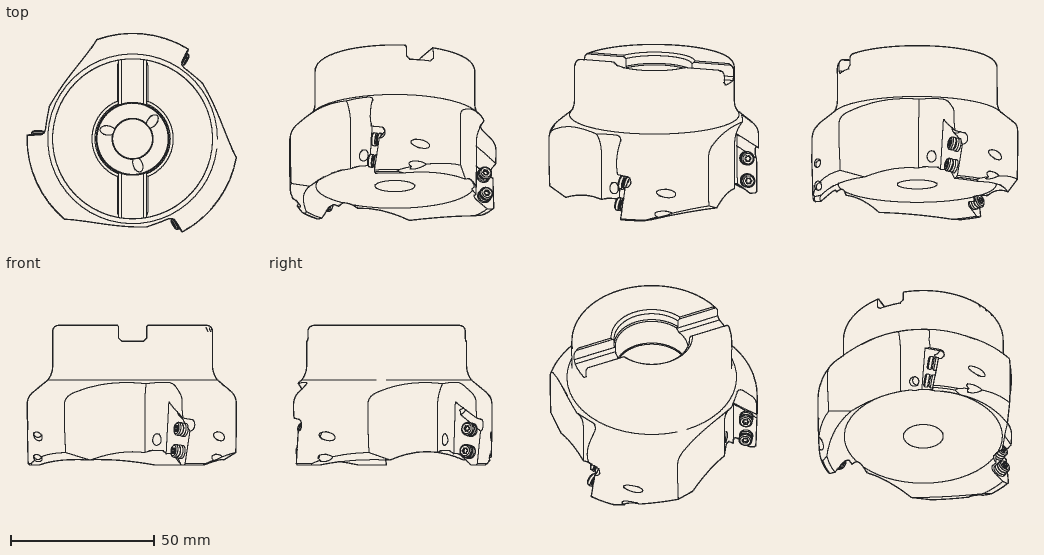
import cadquery as cq
import math

HEIGHT = 48.75
NECK_RADIUS = 27.9
NECK_TOP_FILLET = 2.1
BODY_RADIUS = 36.8
BODY_FOOT_RADIUS = 36.4
TAPER_START_Z = 13.65
FOOT_CHAMFER_WIDTH = 0.6
FOOT_CHAMFER_HEIGHT = 0.5
SHOULDER_FOOT_Z = 23.7
SHOULDER_TOP_RADIUS = 29.55
SHOULDER_TOP_Z = 29.7
SHOULDER_FILLET = 5.25
NECK_FOOT_Z = 34.75

BORE_MOUTH_RADIUS = 13.15
BORE_MOUTH_CHAMFER = 1.0
BORE_MOUTH_FOOT_Z = 44.5
BORE_RADIUS = 12.7
BORE_STEP_Z = 34.3
BORE_STEP = 0.3
LEDGE_Z = 22.6
BOLT_HOLE_RADIUS = 6.9
BOLT_HOLE_CHAMFER = 0.2

SLOT_WIDTH = 9.8
SLOT_DEPTH = 5.55
SLOT_FLOOR_CHAMFER = 1.1
SLOT_MOUTH_CHAMFER = 0.45

DISH_RADIUS = 33.95
DISH_DEPTH = 5.1
DISH_SLOPE = 0.8
CLEARANCE_ANGLE = 52.0
CLEARANCE_START = 27.7
CLEARANCE_SLOPE = 0.5

TOOTH_ANGLES = (60.0, 180.0, 300.0)
POCKET_RADIUS = 12.8
POCKET_TILT = 5.5
BACK_WALL_ANGLE = -30.0
BACK_WALL_DISTANCE = 28.1
BACK_WALL_BEND_Z = 20.95
INNER_WALL_ANGLE = -1.9
INNER_WALL_DISTANCE = 26.8
INNER_WALL_BEND_Z = 19.6
TOOTH_FACE_POINT = cq.Vector(32.1, -1.75, 21.2)
TOOTH_FACE_TILT = 3.5
TOOTH_FACE_SKEW = 6.0
POCKET_CORNER_FILLET = 2.5

UNDERCUT_TILT = -6.0
UNDERCUT_DROP = 1.25
UNDERCUT_INNER = 2.55
UNDERCUT_SIZE = 5.85

SEAT_TILT = 9.0
SEAT_INNER_RADIUS = 28.8
SEAT_CORNER_FILLET = 1.75
SEAT_END_RADIUS = 36.1
SEAT_END_HEIGHT = 16.5
SEAT_END_SLANT = 34.0
END_GROOVE_RADIUS = 1.7
SEAT_CUT_HEIGHT = 6.6

SCREW_RADIAL = 33.0
SCREW_HEIGHTS = (4.6, 12.4)
SHANK_RADIUS = 1.45
SCREW_HOLE_DEPTH = 25.55
SHANK_LENGTH = 7.3
FLANGE_RADIUS = 2.3
FLANGE_THICKNESS = 1.45
FLANGE_CHAMFER = 0.6
SCREW_NECK_RADIUS = 1.6
SCREW_NECK_LENGTH = 0.45
HEAD_RADIUS = 2.25
HEAD_THICKNESS = 1.45
HEAD_CHAMFER = 0.45
SOCKET_RADIUS = 0.8
SOCKET_LOBE_RADIUS = 0.3
SOCKET_LOBES = 6
SOCKET_DEPTH = 0.9

COOLANT_RADIUS = 1.6
COOLANT_INLET = cq.Vector(8.7, -2.9, LEDGE_Z)
COOLANT_OUTLET = cq.Vector(26.65, -5.6, 8.9)
COOLANT_OVERRUN = 4.4

REACH = 51.1
CUT_MARGIN = 0.7

SEAT_PLANE = cq.Plane(
    origin=(0, 0, 0),
    xDir=(1, 0, 0),
    normal=(0, -math.cos(math.radians(SEAT_TILT)), math.sin(math.radians(SEAT_TILT))),
)


def on_every_tooth(shape):
    """Copies of a shape, turned from the +X axis to each tooth."""
    return [shape.rotate((0, 0, 0), (0, 0, 1), angle) for angle in TOOTH_ANGLES]


def turned_blank():
    blank = (
        cq.Workplane("XZ")
        .moveTo(0, HEIGHT)
        .lineTo(NECK_RADIUS, HEIGHT)
        .lineTo(NECK_RADIUS, NECK_FOOT_Z)
        .tangentArcPoint((SHOULDER_TOP_RADIUS, SHOULDER_TOP_Z), relative=False)
        .lineTo(BODY_RADIUS, SHOULDER_FOOT_Z)
        .lineTo(BODY_RADIUS, TAPER_START_Z)
        .lineTo(BODY_FOOT_RADIUS, FOOT_CHAMFER_HEIGHT)
        .lineTo(BODY_FOOT_RADIUS - FOOT_CHAMFER_WIDTH, 0)
        .lineTo(0, 0)
        .close()
        .revolve(360, (0, 0, 0), (0, 1, 0))
    )
    for z, fillet in ((SHOULDER_FOOT_Z, SHOULDER_FILLET), (HEIGHT, NECK_TOP_FILLET)):
        rim = cq.selectors.BoxSelector(
            (-REACH, -REACH, z - CUT_MARGIN), (REACH, REACH, z + CUT_MARGIN), boundingbox=True
        )
        blank = blank.edges(rim).edges("%CIRCLE").fillet(fillet)
    return blank


def bore():
    points = [
        (0, -CUT_MARGIN),
        (BOLT_HOLE_RADIUS, -CUT_MARGIN),
        (BOLT_HOLE_RADIUS, LEDGE_Z - BOLT_HOLE_CHAMFER),
        (BOLT_HOLE_RADIUS + BOLT_HOLE_CHAMFER, LEDGE_Z),
        (BORE_RADIUS - BORE_STEP, LEDGE_Z),
        (BORE_RADIUS - BORE_STEP, BORE_STEP_Z - BORE_STEP),
        (BORE_RADIUS, BORE_STEP_Z),
        (BORE_RADIUS, BORE_MOUTH_FOOT_Z),
        (BORE_MOUTH_RADIUS, BORE_MOUTH_FOOT_Z + BORE_MOUTH_RADIUS - BORE_RADIUS),
        (BORE_MOUTH_RADIUS, HEIGHT - BORE_MOUTH_CHAMFER),
        (BORE_MOUTH_RADIUS + BORE_MOUTH_CHAMFER, HEIGHT),
        (0, HEIGHT),
    ]
    return cq.Workplane("XZ").polyline(points).close().revolve(360, (0, 0, 0), (0, 1, 0))


def drive_slot():
    half = SLOT_WIDTH / 2
    floor_z = HEIGHT - SLOT_DEPTH
    right_side = [
        (half - SLOT_FLOOR_CHAMFER, floor_z),
        (half, floor_z + SLOT_FLOOR_CHAMFER),
        (half, HEIGHT - SLOT_MOUTH_CHAMFER),
        (half + SLOT_MOUTH_CHAMFER, HEIGHT),
    ]
    left_side = [(-x, z) for x, z in reversed(right_side)]
    return cq.Workplane("XZ").polyline(right_side + left_side).close().extrude(REACH, both=True)


def underside_dish():
    floor_radius = DISH_RADIUS - DISH_DEPTH / DISH_SLOPE
    points = [(0, 0), (DISH_RADIUS, 0), (floor_radius, DISH_DEPTH), (0, DISH_DEPTH)]
    return cq.Workplane("XZ").polyline(points).close().revolve(360, (0, 0, 0), (0, 1, 0))


def clearance_cut():
    """Wedge that raises the underside of a tooth towards its heel."""
    rise = (REACH - CLEARANCE_START) * CLEARANCE_SLOPE
    points = [(CLEARANCE_START, 0), (REACH, rise), (REACH, 0)]
    wedge = cq.Workplane("XZ").polyline(points).close().extrude(REACH, both=True)
    return wedge.rotate((0, 0, 0), (0, 0, 1), CLEARANCE_ANGLE)


def pocket_wall_cut(angle, distance, bend_z):
    """Everything outside a flat wall that bends outwards at its top in a quarter round."""
    turn = math.radians(angle)
    tilt = math.radians(POCKET_TILT)
    outward = cq.Vector(math.cos(turn), math.sin(turn), 0)
    along = cq.Vector(
        math.sin(turn) * math.cos(tilt), -math.cos(turn) * math.cos(tilt), math.sin(tilt)
    )
    foot = outward * distance + cq.Vector(0, 0, bend_z)
    arc_middle = POCKET_RADIUS * math.sin(math.radians(45))
    return (
        cq.Workplane(cq.Plane(foot, outward, along))
        .moveTo(0, -REACH)
        .lineTo(0, 0)
        .threePointArc((POCKET_RADIUS - arc_middle, arc_middle), (POCKET_RADIUS, POCKET_RADIUS))
        .lineTo(REACH, POCKET_RADIUS)
        .lineTo(REACH, -REACH)
        .close()
        .extrude(REACH, both=True)
    )


def tooth_face_plane(tilt_angle):
    """Plane of the tooth face: X points outwards along it, and its normal leaves the tooth."""
    tilt = math.radians(tilt_angle)
    skew = math.radians(TOOTH_FACE_SKEW)
    direction = cq.Vector(math.cos(skew), math.sin(skew), 0)
    normal = cq.Vector(
        math.sin(skew) * math.cos(tilt), -math.cos(skew) * math.cos(tilt), math.sin(tilt)
    )
    return cq.Plane(TOOTH_FACE_POINT, direction, normal)


def chip_pocket():
    tooth_face = tooth_face_plane(TOOTH_FACE_TILT)
    before_face = cq.Workplane(tooth_face).rect(4 * REACH, 4 * REACH).extrude(2 * REACH)
    back = pocket_wall_cut(BACK_WALL_ANGLE, BACK_WALL_DISTANCE, BACK_WALL_BEND_Z)
    inner = pocket_wall_cut(INNER_WALL_ANGLE, INNER_WALL_DISTANCE, INNER_WALL_BEND_Z)
    inner = inner.intersect(before_face)
    corner = cq.selectors.NearestToPointSelector((INNER_WALL_DISTANCE, TOOTH_FACE_POINT.y, 0))
    inner = inner.edges(corner).fillet(POCKET_CORNER_FILLET)
    return back.intersect(before_face).union(inner)


def face_undercut():
    """Leans the tooth face back between the seat and a level line above it."""
    line_point = tooth_face_plane(TOOTH_FACE_TILT).toWorldCoords((0, -UNDERCUT_DROP, 0))
    undercut_plane = tooth_face_plane(UNDERCUT_TILT)
    undercut_plane.origin = line_point
    return (
        cq.Workplane(undercut_plane)
        .moveTo(-UNDERCUT_INNER, -UNDERCUT_SIZE)
        .lineTo(-UNDERCUT_INNER, 0)
        .lineTo(REACH, 0)
        .lineTo(REACH, -UNDERCUT_SIZE)
        .close()
        .extrude(UNDERCUT_SIZE)
    )


def insert_seat():
    slope = math.tan(math.radians(SEAT_END_SLANT))

    def end_height(radial):
        return SEAT_END_HEIGHT + (SEAT_END_RADIUS - radial) * slope

    recess = (
        cq.Workplane(SEAT_PLANE)
        .moveTo(SEAT_INNER_RADIUS, -REACH)
        .lineTo(SEAT_INNER_RADIUS, end_height(SEAT_INNER_RADIUS))
        .lineTo(REACH, end_height(REACH))
        .lineTo(REACH, -REACH)
        .close()
        .extrude(SEAT_CUT_HEIGHT)
    )
    floor_corner = SEAT_PLANE.toWorldCoords((SEAT_INNER_RADIUS, 0, 0))
    corner_edge = cq.selectors.NearestToPointSelector(floor_corner.toTuple())
    recess = recess.edges("not(|X)").edges(corner_edge).fillet(SEAT_CORNER_FILLET)
    groove_drop = END_GROOVE_RADIUS / math.cos(math.radians(SEAT_END_SLANT))
    start = (SEAT_INNER_RADIUS, end_height(SEAT_INNER_RADIUS) - groove_drop, 0)
    direction = SEAT_PLANE.xDir - SEAT_PLANE.yDir * slope
    end_groove = cq.Solid.makeCylinder(
        END_GROOVE_RADIUS, REACH, SEAT_PLANE.toWorldCoords(start), direction
    )
    return recess.union(cq.Workplane(end_groove))


def screw_holes():
    """Holes square to the seat that run out through the back of the tooth."""
    places = [(SCREW_RADIAL, height) for height in SCREW_HEIGHTS]
    return cq.Workplane(SEAT_PLANE).pushPoints(places).circle(SHANK_RADIUS).extrude(-SCREW_HOLE_DEPTH)


def coolant_hole():
    axis = COOLANT_OUTLET - COOLANT_INLET
    overrun = axis.normalized() * COOLANT_OVERRUN
    return cq.Workplane(
        cq.Solid.makeCylinder(
            COOLANT_RADIUS, axis.Length + 2 * COOLANT_OVERRUN, COOLANT_INLET - overrun, axis
        )
    )


def cutter_body():
    body = turned_blank().cut(bore()).cut(drive_slot()).cut(underside_dish())
    tooth_features = (
        clearance_cut(),
        chip_pocket(),
        face_undercut(),
        insert_seat(),
        screw_holes(),
        coolant_hole(),
    )
    for feature in tooth_features:
        for cut in on_every_tooth(feature):
            body = body.cut(cut)
    return body


def insert_screw(height):
    """Screw standing on the seat at the given height along it."""
    neck_foot = FLANGE_THICKNESS
    head_foot = neck_foot + SCREW_NECK_LENGTH
    head_top = head_foot + HEAD_THICKNESS
    half_section = [
        (0, -SHANK_LENGTH),
        (SHANK_RADIUS, -SHANK_LENGTH),
        (SHANK_RADIUS, 0),
        (FLANGE_RADIUS, 0),
        (FLANGE_RADIUS, neck_foot - FLANGE_CHAMFER),
        (FLANGE_RADIUS - FLANGE_CHAMFER, neck_foot),
        (SCREW_NECK_RADIUS, neck_foot),
        (SCREW_NECK_RADIUS, head_foot),
        (HEAD_RADIUS, head_foot),
        (HEAD_RADIUS, head_top - HEAD_CHAMFER),
        (HEAD_RADIUS - HEAD_CHAMFER, head_top),
        (0, head_top),
    ]
    screw = cq.Workplane("XZ").polyline(half_section).close().revolve(360, (0, 0, 0), (0, 1, 0))
    top = cq.Workplane("XY").workplane(offset=head_top)
    socket = top.circle(SOCKET_RADIUS).extrude(-SOCKET_DEPTH)
    lobes = (
        top.polarArray(SOCKET_RADIUS, 0, 360, SOCKET_LOBES)
        .circle(SOCKET_LOBE_RADIUS)
        .extrude(-SOCKET_DEPTH)
    )
    screw = screw.cut(socket.union(lobes)).solids().val()
    place = SEAT_PLANE.toWorldCoords((SCREW_RADIAL, height, 0))
    return screw.moved(cq.Location(cq.Plane(place, SEAT_PLANE.xDir, SEAT_PLANE.zDir)))


body = cutter_body()
screws = []
for screw_height in SCREW_HEIGHTS:
    screws += on_every_tooth(insert_screw(screw_height))

result = cq.Compound.makeCompound([body.solids().val(), *screws])